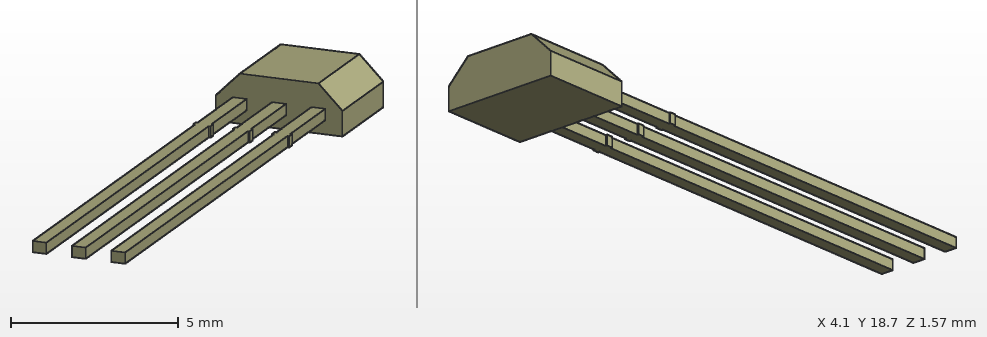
import cadquery as cq

total_length = 18.68

body_width = 4.1
body_height = 1.57
body_length = 3.18
body_top_width = 2.54
body_side_height = 0.8

lead_count = 3
lead_pitch = 1.27
lead_width = 0.45
lead_thickness = 0.35
lead_bottom = 0.45
lead_length = total_length - body_length

collar_width = 0.56
collar_length = 0.22
collar_offset = 2.7


def make_body():
    """Body prism with its lead face on Y = 0, extending along +Y."""
    half_width = body_width / 2
    half_top = body_top_width / 2
    profile = [
        (-half_width, 0),
        (half_width, 0),
        (half_width, body_side_height),
        (half_top, body_height),
        (-half_top, body_height),
        (-half_width, body_side_height),
    ]
    return cq.Workplane("XZ").polyline(profile).close().extrude(-body_length)


def make_bar(center_x, width, start, length):
    """Bar of lead thickness running along -Y, starting this far from the body face."""
    return (
        cq.Workplane("XY")
        .box(width, length, lead_thickness, centered=(True, False, False))
        .translate((center_x, -start - length, lead_bottom))
    )


result = make_body()
for index in range(lead_count):
    lead_x = (index - (lead_count - 1) / 2) * lead_pitch
    result = result.union(make_bar(lead_x, lead_width, 0, lead_length))
    result = result.union(make_bar(lead_x, collar_width, collar_offset, collar_length))